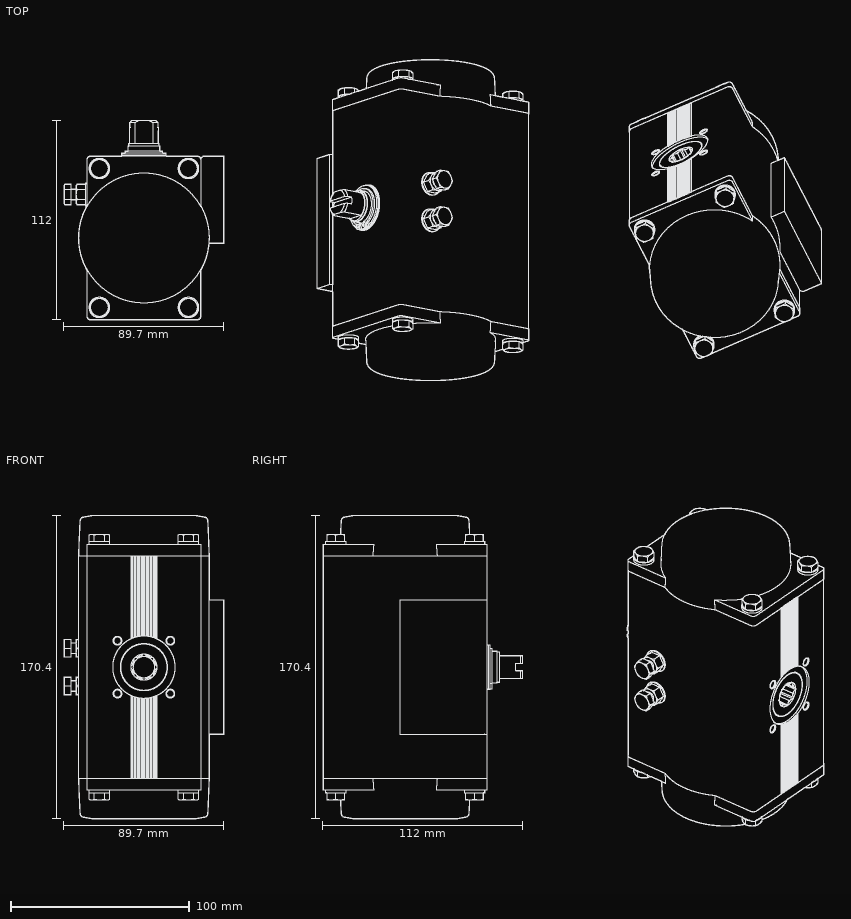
import cadquery as cq
import math

half_width = 32.0
half_depth = 46.0
body_half_length = 62.5
body_corner_radius = 2.5
cylinder_radius = 36.75
cylinder_blend_radius = 3.2

flange_thickness = 6.5
flange_corner_radius = 2.0
dome_top_z = 85.2
dome_crown_radius = 29.1
dome_crown_rim_z = 84.2
dome_crown_rim_radius = 34.5
dome_edge_z = 82.1
dome_edge_radius = 35.95
dome_base_z = 78.3
dome_base_radius = 36.15

bolt_x = 25.0
bolt_y = 39.0
hex_across_flats = 10.0
hex_across_corners = hex_across_flats / math.cos(math.pi / 6)
hex_chamfer_angle = math.radians(30)
bolt_washer_diameter = 11.5
bolt_washer_thickness = 1.6
bolt_head_height = 4.0

shaft_diameter = 26.0
shaft_tip_y = 66.0
shaft_tip_diameter = 16.4
shaft_flats_width = 13.0
shaft_flats_length = 13.0
shaft_tip_chamfer = 1.2
shaft_shoulder_diameter = 17.2
shaft_neck_diameter = 18.0
shaft_neck_end_y = 51.5
shaft_collar_diameter = 25.0
shaft_collar_end_y = 46.7
slot_width = 4.0
slot_depth = 4.0
drive_across_flats = 11.0
drive_corner_diameter = 14.7
drive_mouth_chamfer = 0.7
drive_depth = 14.0
drive_drill_diameter = 12.0

washer_diameter = 25.0
washer_top_y = 47.7
ring_diameter = 21.0
ring_top_y = 48.8
ring_ear_diameter = 4.0
ring_ear_hole_diameter = 2.0
ring_ear_x = 3.2
ring_ear_z = -10.3
ring_gap_width = 3.0

recess_diameter = 35.0
recess_depth = 1.5
shaft_clearance_diameter = 26.5
shaft_clearance_depth = 1.5
mount_hole_offset = 42.0 / 2 / math.sqrt(2)
mount_thread_diameter = 4.92
mount_core_diameter = 4.13
mount_countersink_depth = 0.5
mount_hole_depth = 8.0
drill_point_ratio = math.tan(math.radians(31))

serration_count = 15
serration_pitch = 1.0
serration_radius = 0.335

plate_half_length = 37.75
plate_outer_x = 44.87
plate_bottom_y = -3.0
plate_chamfer = 1.3

stop_y = 24.4
stop_z = 10.6
stop_washer_diameter = 13.0
stop_washer_thickness = 0.7
stop_nut_thickness = 5.3
stop_gap = 2.83
stop_head_thickness = 4.0
stop_shank_diameter = 6.0


def rounded_prism(corner_radius, length):
    """Rectangular block around Z with rounded long edges, from z = 0."""
    block = cq.Workplane("XY").rect(2 * half_width, 2 * half_depth).extrude(length)
    return block.edges("|Z").fillet(corner_radius)


def y_cylinder(diameter, start_y, end_y, x=0.0, z=0.0):
    """Cylinder along Y."""
    plane = cq.Plane(origin=(x, start_y, z), xDir=(1, 0, 0), normal=(0, 1, 0))
    return cq.Workplane(plane).circle(diameter / 2).extrude(end_y - start_y)


def hex_prism(thickness):
    """Hexagon along +Z, corners on X, with its upper corners chamfered."""
    prism = cq.Workplane("XY").polygon(6, hex_across_corners).extrude(thickness)
    inner = hex_across_flats / 2
    outer = hex_across_corners / 2
    drop = (outer - inner) * math.tan(hex_chamfer_angle)
    turned = (
        cq.Workplane("XZ")
        .polyline([(0, 0), (outer, 0), (outer, thickness - drop), (inner, thickness), (0, thickness)])
        .close()
        .revolve(360, (0, 0, 0), (0, 1, 0))
    )
    return prism.intersect(turned)


def mount_hole(x, z):
    """Tapped hole with a drilled point, entering from the -Y face."""
    thread = mount_thread_diameter / 2
    core = mount_core_diameter / 2
    point = core * drill_point_ratio
    return (
        cq.Workplane("XY")
        .polyline([
            (0, 0),
            (thread, 0),
            (core, mount_countersink_depth),
            (core, mount_hole_depth),
            (0, mount_hole_depth + point),
        ])
        .close()
        .revolve(360, (0, 0, 0), (0, 1, 0))
        .translate((x, -half_depth, z))
    )


def serrations():
    """Fine half-round grooves along Z on the -Y face."""
    first_x = -(serration_count - 1) * serration_pitch / 2
    centers = [(first_x + index * serration_pitch, -half_depth) for index in range(serration_count)]
    sketch = cq.Workplane("XY", origin=(0, 0, -body_half_length)).pushPoints(centers)
    return sketch.circle(serration_radius).extrude(2 * body_half_length)


def shaft_bore():
    """Through bore for the shaft, with a narrow clearance gap at the floor of the -Y recess."""
    floor_y = -half_depth + recess_depth
    clearance = y_cylinder(shaft_clearance_diameter, floor_y, floor_y + shaft_clearance_depth)
    return y_cylinder(shaft_diameter, floor_y, half_depth).union(clearance)


def make_housing():
    length = 2 * body_half_length
    block = rounded_prism(body_corner_radius, length)
    barrel = cq.Workplane("XY").circle(cylinder_radius).extrude(length)
    body = block.union(barrel)
    joint_y = math.sqrt(cylinder_radius ** 2 - half_width ** 2)
    for x in (-half_width, half_width):
        for y in (-joint_y, joint_y):
            joint = cq.selectors.NearestToPointSelector((x, y, body_half_length))
            body = body.edges(joint).fillet(cylinder_blend_radius)
    body = body.translate((0, 0, -body_half_length))
    body = body.cut(serrations())
    body = body.cut(y_cylinder(recess_diameter, -half_depth, -half_depth + recess_depth))
    body = body.cut(shaft_bore())
    for x in (-mount_hole_offset, mount_hole_offset):
        for z in (-mount_hole_offset, mount_hole_offset):
            body = body.cut(mount_hole(x, z))
    for z in (-stop_z, stop_z):
        spot_face = (
            cq.Workplane("YZ", origin=(-half_width, stop_y, z))
            .circle(stop_washer_diameter / 2)
            .extrude(-stop_washer_thickness)
        )
        body = body.cut(spot_face)
    return body


def make_bolt():
    """Hexagon bolt head on its washer, standing on z = 0."""
    washer = cq.Workplane("XY").circle(bolt_washer_diameter / 2).extrude(bolt_washer_thickness)
    head = hex_prism(bolt_head_height).translate((0, 0, bolt_washer_thickness))
    return washer.union(head)


def make_upper_cap():
    flange_top_z = body_half_length + flange_thickness
    flange = rounded_prism(flange_corner_radius, flange_thickness).translate((0, 0, body_half_length))
    dome = (
        cq.Workplane("XZ")
        .moveTo(0, body_half_length)
        .lineTo(cylinder_radius, body_half_length)
        .lineTo(dome_base_radius, dome_base_z)
        .lineTo(dome_edge_radius, dome_edge_z)
        .tangentArcPoint((dome_crown_rim_radius, dome_crown_rim_z), relative=False)
        .lineTo(dome_crown_radius, dome_top_z)
        .lineTo(0, dome_top_z)
        .close()
        .revolve(360, (0, 0, 0), (0, 1, 0))
    )
    cap = flange.union(dome)
    for x in (-bolt_x, bolt_x):
        for y in (-bolt_y, bolt_y):
            cap = cap.union(make_bolt().translate((x, y, flange_top_z)))
    return cap


def drive_socket():
    """Eight-cornered socket with a drilled point, entering from the -Y end of the shaft."""
    mouth_y = -half_depth + recess_depth
    plane = cq.Plane(origin=(0, mouth_y, 0), xDir=(1, 0, 0), normal=(0, 1, 0))
    square = cq.Workplane(plane).rect(drive_across_flats, drive_across_flats).extrude(drive_depth)
    star = square.union(square.rotate((0, 0, 0), (0, 1, 0), 45))
    star = star.intersect(y_cylinder(drive_corner_diameter, mouth_y, mouth_y + drive_depth))
    drill_radius = drive_drill_diameter / 2
    floor_y = mouth_y + drive_depth
    point = cq.Solid.makeCone(
        drill_radius, 0, drill_radius * drill_point_ratio, cq.Vector(0, floor_y, 0), cq.Vector(0, 1, 0)
    )
    mouth_radius = drive_corner_diameter / 2
    mouth = cq.Solid.makeCone(
        mouth_radius,
        mouth_radius - drive_mouth_chamfer,
        drive_mouth_chamfer,
        cq.Vector(0, mouth_y, 0),
        cq.Vector(0, 1, 0),
    )
    return star.union(cq.Workplane(point)).union(cq.Workplane(mouth))


def make_shaft():
    flats_start_y = shaft_tip_y - shaft_flats_length
    shaft = y_cylinder(shaft_diameter, -half_depth + recess_depth, half_depth)
    shaft = shaft.union(y_cylinder(shaft_collar_diameter, half_depth, shaft_collar_end_y))
    shaft = shaft.union(y_cylinder(shaft_neck_diameter, shaft_collar_end_y, shaft_neck_end_y))
    shaft = shaft.union(y_cylinder(shaft_shoulder_diameter, shaft_neck_end_y, flats_start_y))
    tip = y_cylinder(shaft_tip_diameter, flats_start_y, shaft_tip_y).faces(">Y").chamfer(shaft_tip_chamfer)
    flats = cq.Workplane("XY").box(shaft_tip_diameter, 2 * shaft_tip_y, shaft_flats_width)
    shaft = shaft.union(tip.intersect(flats))
    slot = cq.Workplane("XY").box(shaft_tip_diameter, 2 * slot_depth, slot_width)
    shaft = shaft.cut(slot.translate((0, shaft_tip_y, 0)))
    return shaft.cut(drive_socket())


def make_retainer():
    washer = y_cylinder(washer_diameter, shaft_collar_end_y, washer_top_y)
    ring = y_cylinder(ring_diameter, washer_top_y, ring_top_y)
    gap = cq.Workplane("XY").box(ring_gap_width, ring_top_y - washer_top_y, ring_diameter)
    ring = ring.cut(gap.translate((0, (washer_top_y + ring_top_y) / 2, -ring_diameter / 2)))
    for x in (-ring_ear_x, ring_ear_x):
        ring = ring.union(y_cylinder(ring_ear_diameter, washer_top_y, ring_top_y, x, ring_ear_z))
        ring = ring.cut(y_cylinder(ring_ear_hole_diameter, washer_top_y, ring_top_y, x, ring_ear_z))
    bore = y_cylinder(shaft_neck_diameter, shaft_collar_end_y, ring_top_y)
    return washer.union(ring).cut(bore)


def make_side_plate(housing):
    plate = (
        cq.Workplane("XY", origin=(0, 0, -plate_half_length))
        .moveTo(half_width, plate_bottom_y)
        .lineTo(plate_outer_x, plate_bottom_y)
        .lineTo(plate_outer_x, half_depth)
        .lineTo(half_width + plate_chamfer, half_depth)
        .lineTo(half_width, half_depth - plate_chamfer)
        .close()
        .extrude(2 * plate_half_length)
    )
    return plate.cut(housing)


def make_stop_screw(z):
    """Screw with lock nut and washer, standing out along -X from the housing side."""
    nut_end = stop_washer_thickness + stop_nut_thickness
    head_start = nut_end + stop_gap
    screw = cq.Workplane("XY").circle(stop_washer_diameter / 2).extrude(stop_washer_thickness)
    screw = screw.union(hex_prism(stop_nut_thickness).translate((0, 0, stop_washer_thickness)))
    screw = screw.union(cq.Workplane("XY").circle(stop_shank_diameter / 2).extrude(head_start))
    screw = screw.union(hex_prism(stop_head_thickness).translate((0, 0, head_start)))
    screw = screw.rotate((0, 0, 0), (0, 0, 1), 90)
    screw = screw.rotate((0, 0, 0), (0, 1, 0), -90)
    return screw.translate((-half_width, stop_y, z))


housing = make_housing()
upper_cap = make_upper_cap()
lower_cap = upper_cap.mirror("XY")
shaft = make_shaft()
retainer = make_retainer()
side_plate = make_side_plate(housing)
stop_screws = [make_stop_screw(z) for z in (-stop_z, stop_z)]

result = cq.Compound.makeCompound([
    housing.val(),
    upper_cap.val(),
    lower_cap.val(),
    shaft.val(),
    retainer.val(),
    side_plate.val(),
    *[screw.val() for screw in stop_screws],
])